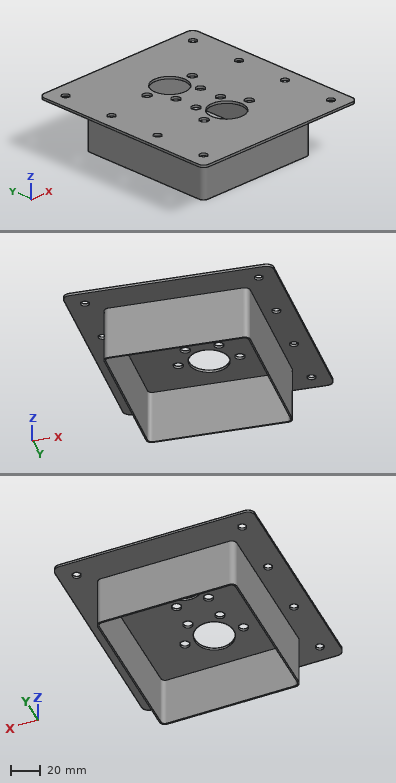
import cadquery as cq

plate_x = 150.0
plate_y = 160.0
plate_thickness = 2.0
plate_corner_radius = 5.3

total_height = 42.0
skirt_x = 104.5
skirt_y = 114.4
skirt_wall = 1.1
skirt_corner_radius = 4.2

mount_diameter = 6.0
mount_column_spacing = 124.2
mount_pitch = 44.6
mount_rows = 4

opening_diameter = 29.0
opening_offset = 27.7
screw_diameter = 7.0
side_screw_spacing = 44.0
inner_screw_spacing = 24.0
inner_screw_offset = 9.8


def rounded_block(size_x, size_y, height, radius):
    """Block with rounded vertical edges, hanging down from Z = 0."""
    block = cq.Workplane("XY").rect(size_x, size_y).extrude(-height)
    return block.edges("|Z").fillet(radius)


def through_holes(points, diameter):
    """Cylinders that cut through the plate at the given points."""
    return cq.Workplane("XY").pushPoints(points).circle(diameter / 2).extrude(-plate_thickness)


plate = rounded_block(plate_x, plate_y, plate_thickness, plate_corner_radius)
skirt_outer = rounded_block(skirt_x, skirt_y, total_height, skirt_corner_radius)
skirt_cavity = rounded_block(
    skirt_x - 2 * skirt_wall,
    skirt_y - 2 * skirt_wall,
    total_height,
    skirt_corner_radius - skirt_wall,
)
body = plate.union(skirt_outer.cut(skirt_cavity))

mount_points = [
    (side * mount_column_spacing / 2, (row - (mount_rows - 1) / 2) * mount_pitch)
    for side in (-1, 1)
    for row in range(mount_rows)
]
opening_points = [(0, end * opening_offset) for end in (-1, 1)]
screw_points = [
    (side * spacing / 2, end * offset)
    for spacing, offset in (
        (side_screw_spacing, opening_offset),
        (inner_screw_spacing, inner_screw_offset),
    )
    for side in (-1, 1)
    for end in (-1, 1)
]

result = (
    body.cut(through_holes(mount_points, mount_diameter))
    .cut(through_holes(opening_points, opening_diameter))
    .cut(through_holes(screw_points, screw_diameter))
)